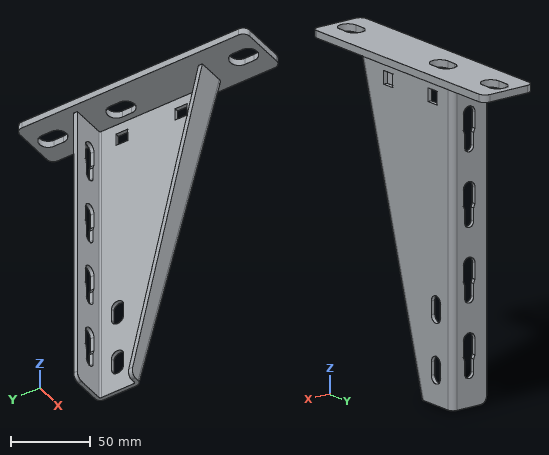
import cadquery as cq
import math

total_height = 220.0
plate_width = 40.0
plate_length = 175.0
plate_thickness = 5.0
plate_corner_radius = 5.0
plate_slot_width = 13.0
plate_slot_length = 20.0
end_slot_y = 72.5
inner_slot_y = 20.7

bracket_height = total_height - plate_thickness
bracket_width = 28.0
outer_x = bracket_width / 2
sheet = 2.9
inner_bend_radius = 1.0
outer_bend_radius = sheet + inner_bend_radius
back_y = 47.3
front_bottom_y = 14.5
front_top_y = -47.3
flange_corner_radius = 5.0

front_edge_bottom_x = 2.2
front_edge_top_x = -9.0

back_slot_count = 4
back_slot_pitch = 50.0
back_slot_bottom = 19.1
back_slot_height = 30.1
back_slot_wide = 9.0
back_slot_narrow = 7.0
back_slot_step_height = 12.0
back_slot_step_rise = 2.6

web_slot_width = 9.0
web_slot_length = 18.0
web_slot_y = 31.0
web_slot_heights = (23.3, 63.4)
square_side = 9.0
square_ys = (27.7, -17.4)
square_depth = 16.7
square_z = total_height - square_depth


def make_plate():
    plate = (
        cq.Workplane("XY", origin=(0, 0, bracket_height))
        .rect(plate_width, plate_length)
        .extrude(plate_thickness)
        .edges("|Z").fillet(plate_corner_radius)
    )
    slot_centers = [(0, y) for y in (end_slot_y, inner_slot_y, -end_slot_y)]
    slots = (
        cq.Workplane("XY", origin=(0, 0, bracket_height))
        .pushPoints(slot_centers)
        .slot2D(plate_slot_length, plate_slot_width, 90)
        .extrude(plate_thickness)
    )
    return plate.cut(slots)


def front_y(z, inset):
    """Y of the sloping flange at height z, offset inward by the given thickness."""
    slope = (front_top_y - front_bottom_y) / bracket_height
    return front_bottom_y + slope * z + inset * math.hypot(1, slope)


def bent_block(inset, bend_radius):
    """Block with side faces and web face set in, and both bends rounded."""
    back = back_y - inset
    outline = [
        (back, 0),
        (back, bracket_height),
        (front_y(bracket_height, inset), bracket_height),
        (front_y(0, inset), 0),
    ]
    return (
        cq.Workplane("YZ", origin=(-outer_x, 0, 0))
        .polyline(outline).close()
        .extrude(bracket_width - inset)
        .faces(">X").edges("not |Y").fillet(bend_radius)
    )


def make_front_flange_trim():
    """Cutter that tapers the front flange and rounds its lower free corner."""
    middle_y = back_y - outer_bend_radius
    depth = middle_y - front_top_y
    free_corner = cq.NearestToPointSelector((front_edge_bottom_x, middle_y - depth / 2, 0))
    keep = (
        cq.Workplane("XZ", origin=(0, middle_y, 0))
        .moveTo(front_edge_bottom_x, 0)
        .lineTo(outer_x, 0)
        .lineTo(outer_x, bracket_height)
        .lineTo(front_edge_top_x, bracket_height)
        .close()
        .extrude(depth)
        .edges("|Y").edges(free_corner).fillet(flange_corner_radius)
    )
    whole = cq.Workplane("XY").box(
        bracket_width, depth, bracket_height, centered=(True, False, False)
    ).translate((0, front_top_y, 0))
    return whole.cut(keep)


def make_back_slots():
    """Round-ended slots that step from a narrow foot to a wide head."""
    wide = back_slot_wide / 2
    narrow = back_slot_narrow / 2
    step_top = back_slot_step_height + back_slot_step_rise
    slot = (
        cq.Workplane("XZ", origin=(0, back_y, back_slot_bottom))
        .moveTo(-narrow, narrow)
        .threePointArc((0, 0), (narrow, narrow))
        .lineTo(narrow, back_slot_step_height)
        .lineTo(wide, step_top)
        .lineTo(wide, back_slot_height - wide)
        .threePointArc((0, back_slot_height), (-wide, back_slot_height - wide))
        .lineTo(-wide, step_top)
        .lineTo(-narrow, back_slot_step_height)
        .close()
        .extrude(sheet)
    )
    slots = cq.Workplane("XY")
    for index in range(back_slot_count):
        slots = slots.add(slot.translate((0, 0, index * back_slot_pitch)))
    return slots.combine()


def make_web_openings():
    web_plane = cq.Workplane("YZ", origin=(outer_x - sheet, 0, 0))
    slots = (
        web_plane.pushPoints([(web_slot_y, z) for z in web_slot_heights])
        .slot2D(web_slot_length, web_slot_width, 90)
        .extrude(sheet)
    )
    squares = (
        web_plane.pushPoints([(y, square_z) for y in square_ys])
        .rect(square_side, square_side)
        .extrude(sheet)
    )
    return slots.add(squares).combine()


def make_bracket():
    bracket = bent_block(0, outer_bend_radius).cut(bent_block(sheet, inner_bend_radius))
    bracket = bracket.cut(make_front_flange_trim())
    back_corner = cq.NearestToPointSelector((-outer_x, back_y - sheet / 2, 0))
    bracket = bracket.edges("|Y").edges(back_corner).fillet(flange_corner_radius)
    return bracket.cut(make_back_slots()).cut(make_web_openings())


mounting_plate = make_plate()
bracket = make_bracket()
result = cq.Compound.makeCompound([mounting_plate.val(), bracket.val()])